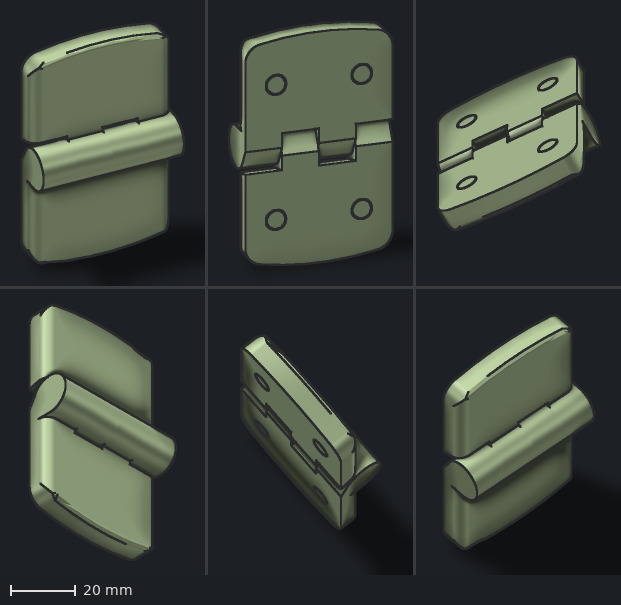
import cadquery as cq
import math

width = 48.2
half_width = width / 2
half_height = 38.5

thickness = 7.85
end_arc_radius = 100.0
corner_radius = 6.0
side_round_radius = 4.0
end_round_radius = 1.5

pin_x = 8.85
barrel_radius = 7.0
pin_radius = 3.0
flank_angle = math.radians(60)
knuckle_width = width / 4
gap_start = 6.15
gap_slope = math.tan(math.radians(15))

groove_outer_radius = 3.3
groove_inner_radius = 3.1
groove_depth = 0.8
groove_y = 14.0
groove_z = 22.5

end_arc_center_z = half_height - end_arc_radius


def box(x_range, y_range, z_range):
    """Axis-aligned box between the given limits."""
    sizes = [high - low for low, high in (x_range, y_range, z_range)]
    corner = (x_range[0], y_range[0], z_range[0])
    return cq.Workplane("XY").box(*sizes, centered=False).translate(corner)


def plate_blank():
    """Upper plate: bowed end, two rounded corners, straight sides."""
    corner_y = half_width - corner_radius
    center_distance = end_arc_radius - corner_radius
    corner_z = end_arc_center_z + math.sqrt(center_distance**2 - corner_y**2)
    tangent_angle = math.asin(corner_y / center_distance)
    tangent_y = end_arc_radius * math.sin(tangent_angle)
    tangent_z = end_arc_center_z + end_arc_radius * math.cos(tangent_angle)
    middle_angle = (tangent_angle + math.pi / 2) / 2
    middle_y = corner_y + corner_radius * math.sin(middle_angle)
    middle_z = corner_z + corner_radius * math.cos(middle_angle)
    return (
        cq.Workplane("YZ")
        .moveTo(-half_width, gap_start)
        .lineTo(half_width, gap_start)
        .lineTo(half_width, corner_z)
        .threePointArc((middle_y, middle_z), (tangent_y, tangent_z))
        .threePointArc((0, half_height), (-tangent_y, tangent_z))
        .threePointArc((-middle_y, middle_z), (-half_width, corner_z))
        .close()
        .extrude(thickness)
    )


def side_rounded_stock():
    """Bar along Z whose two long front edges are rounded."""
    bar = box((0, thickness), (-half_width, half_width), (gap_start, half_height))
    return bar.edges("|Z and >X").fillet(side_round_radius)


def end_rounded_stock():
    """Disc about the end arc's centre with a rounded front rim."""
    disc = cq.Workplane("YZ", origin=(0, 0, end_arc_center_z)).circle(end_arc_radius).extrude(thickness)
    return disc.faces(">X").edges().fillet(end_round_radius)


def knuckle(y_low):
    """One knuckle: barrel, sloping flank and the web joining it to the plate."""
    flank_x = pin_x - barrel_radius * math.sin(flank_angle)
    flank_z = -barrel_radius * math.cos(flank_angle)
    diagonal = barrel_radius * math.sqrt(0.5)
    flank_start_z = flank_z + flank_x * math.tan(flank_angle)
    return (
        cq.Workplane("XZ", origin=(0, y_low + knuckle_width, 0))
        .moveTo(0, flank_start_z)
        .lineTo(flank_x, flank_z)
        .threePointArc((pin_x, -barrel_radius), (pin_x + barrel_radius, 0))
        .threePointArc((pin_x + diagonal, diagonal), (pin_x, barrel_radius))
        .lineTo(0, barrel_radius)
        .close()
        .extrude(knuckle_width)
    )


def knuckle_gap(y_low):
    """Wedge that slopes the plate end facing the other leaf's knuckle."""
    return (
        cq.Workplane("XZ", origin=(0, y_low + knuckle_width, 0))
        .moveTo(0, gap_start)
        .lineTo(thickness, gap_start + thickness * gap_slope)
        .lineTo(thickness, gap_start)
        .close()
        .extrude(knuckle_width)
    )


def pin():
    """Hinge pin, flush with both sides."""
    return cq.Workplane("XZ", origin=(pin_x, half_width, 0)).circle(pin_radius).extrude(width)


def grooves():
    """Rings that are cut into the back face of one leaf."""
    return (
        cq.Workplane("YZ")
        .pushPoints([(-groove_y, groove_z), (groove_y, groove_z)])
        .circle(groove_outer_radius)
        .circle(groove_inner_radius)
        .extrude(groove_depth)
    )


def upper_leaf():
    """Leaf above the pin; its knuckles alternate with those of the lower leaf."""
    leaf = plate_blank().intersect(side_rounded_stock()).intersect(end_rounded_stock())
    for y_low in (-half_width, 0):
        leaf = leaf.cut(knuckle_gap(y_low))
        leaf = leaf.union(knuckle(y_low + knuckle_width))
    return leaf.cut(grooves()).cut(pin())


leaf_above = upper_leaf()
leaf_below = leaf_above.rotate((0, 0, 0), (1, 0, 0), 180)

result = leaf_above.union(leaf_below).union(pin(), clean=False)